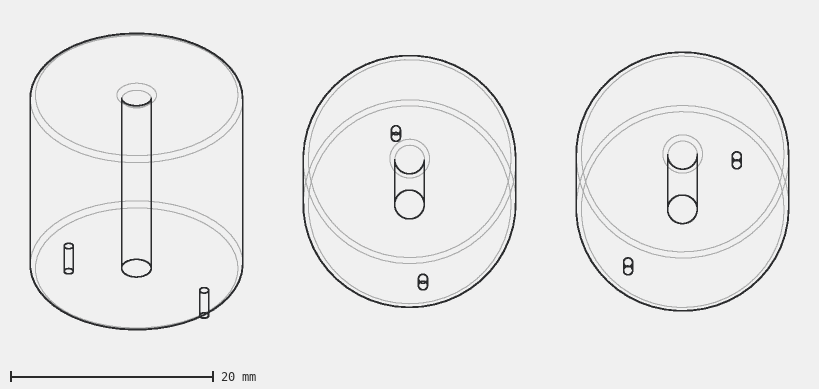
import cadquery as cq

body_diameter = 21.0
overall_height = 24.44
pin_length = 3.1
body_height = overall_height - pin_length
edge_radius = 0.5

hole_diameter = 2.92

pin_diameter = 0.9
pin_spacing = 15.24


def make_body():
    """Bored cylinder with its outer edges and the top of the bore rounded."""
    body = cq.Workplane("XY").circle(body_diameter / 2).extrude(body_height)
    body = body.edges().fillet(edge_radius)
    body = body.faces(">Z").workplane().hole(hole_diameter)
    bore_rim = body.faces(">Z").edges(cq.selectors.RadiusNthSelector(0))
    return bore_rim.fillet(edge_radius)


def make_pin(x):
    """Round pin hanging from the underside of the body at the given X."""
    return cq.Workplane("XY").center(x, 0).circle(pin_diameter / 2).extrude(-pin_length)


result = make_body()
for side in (-1, 1):
    result = result.union(make_pin(side * pin_spacing / 2))